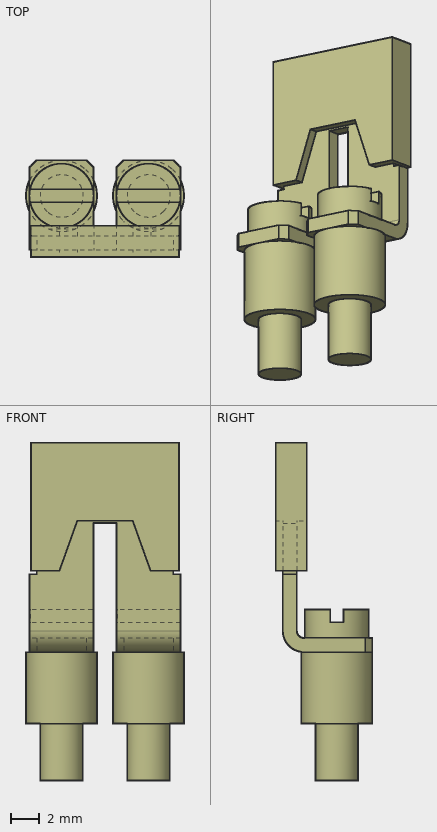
import cadquery as cq

screw_pitch = 6.1
pin_diameter = 3.0
pin_length = 4.0
barrel_diameter = 5.0
barrel_length = 5.0
head_diameter = 4.5
head_height = 2.0
drive_slot_width = 0.9
drive_slot_depth = 0.9

strip_thickness = 1.0
leg_width = 4.5
inner_bend_radius = 0.5
foot_corner_chamfer = 0.5
neck_width = 9.6
shoulder_drop = 0.22

block_width = 10.4
block_thickness = 2.2
block_height = 9.0
notch_height = 3.5
notch_top_width = 3.9
notch_bottom_width = 6.4
strip_setback = 0.5
gap_top_drop = 0.15

overall_height = 23.7
overall_depth = 6.8

strip_bottom_z = pin_length + barrel_length
strip_top_z = strip_bottom_z + strip_thickness
block_bottom_z = overall_height - block_height
notch_top_z = block_bottom_z + notch_height
gap_top_z = notch_top_z - gap_top_drop
shoulder_z = block_bottom_z - shoulder_drop
leg_gap = screw_pitch - leg_width
foot_end_y = barrel_diameter / 2
block_front_y = foot_end_y - overall_depth
block_center_y = block_front_y + block_thickness / 2
strip_front_y = block_front_y + strip_setback
strip_back_y = strip_front_y + strip_thickness
outer_bend_radius = inner_bend_radius + strip_thickness
strip_end_z = (notch_top_z + overall_height) / 2


def box_between(x_size, y_range, z_range):
    """Box centred on X = 0 that spans the given Y and Z ranges."""
    y_low, y_high = y_range
    z_low, z_high = z_range
    box = cq.Workplane("XY").box(x_size, y_high - y_low, z_high - z_low, centered=(True, False, False))
    return box.translate((0, y_low, z_low))


def make_leg():
    """One L-shaped leg: foot along Y, rounded bend and upright."""
    foot = box_between(leg_width, (strip_front_y, foot_end_y), (strip_bottom_z, strip_top_z))
    upright = box_between(leg_width, (strip_front_y, strip_back_y), (strip_bottom_z, shoulder_z))
    leg = foot.union(upright)
    leg = leg.edges("|X and <Y and <Z").fillet(outer_bend_radius)
    inner_corner = cq.selectors.NearestToPointSelector((0, strip_back_y, strip_top_z))
    leg = leg.edges("|X").edges(inner_corner).fillet(inner_bend_radius)
    return leg.edges("|Z and >Y").chamfer(foot_corner_chamfer)


def make_strip():
    """Both legs, joined by the narrower neck that runs up into the block."""
    strip_y = (strip_front_y, strip_back_y)
    neck = box_between(neck_width, strip_y, (shoulder_z, strip_end_z))
    gap = box_between(leg_gap, strip_y, (shoulder_z, gap_top_z))
    strip = neck.cut(gap)
    leg = make_leg()
    for side in (-1, 1):
        strip = strip.union(leg.translate((side * screw_pitch / 2, 0, 0)))
    return strip


def make_block():
    """Grip block with a tapered notch opening downwards through its thickness."""
    block_y = (block_front_y, block_front_y + block_thickness)
    block = box_between(block_width, block_y, (block_bottom_z, overall_height))
    notch = (
        cq.Workplane("XZ", origin=(0, block_center_y, 0))
        .polyline([
            (-notch_bottom_width / 2, block_bottom_z),
            (-notch_top_width / 2, notch_top_z),
            (notch_top_width / 2, notch_top_z),
            (notch_bottom_width / 2, block_bottom_z),
        ])
        .close()
        .extrude(block_thickness, both=True)
    )
    return block.cut(notch)


def make_screw():
    """Pin, barrel and slotted head on the Z axis; the strip lies between barrel and head."""
    head_top_z = strip_top_z + head_height
    pin = cq.Workplane("XY").circle(pin_diameter / 2).extrude(pin_length)
    barrel = cq.Workplane("XY", origin=(0, 0, pin_length)).circle(barrel_diameter / 2).extrude(barrel_length)
    head = cq.Workplane("XY", origin=(0, 0, strip_top_z)).circle(head_diameter / 2).extrude(head_height)
    drive_slot = box_between(
        2 * head_diameter,
        (-drive_slot_width / 2, drive_slot_width / 2),
        (head_top_z - drive_slot_depth, head_top_z),
    )
    return [pin, barrel, head.cut(drive_slot)]


result = make_block().union(make_strip())
for side in (-1, 1):
    for screw_section in make_screw():
        result = result.union(screw_section.translate((side * screw_pitch / 2, 0, 0)))